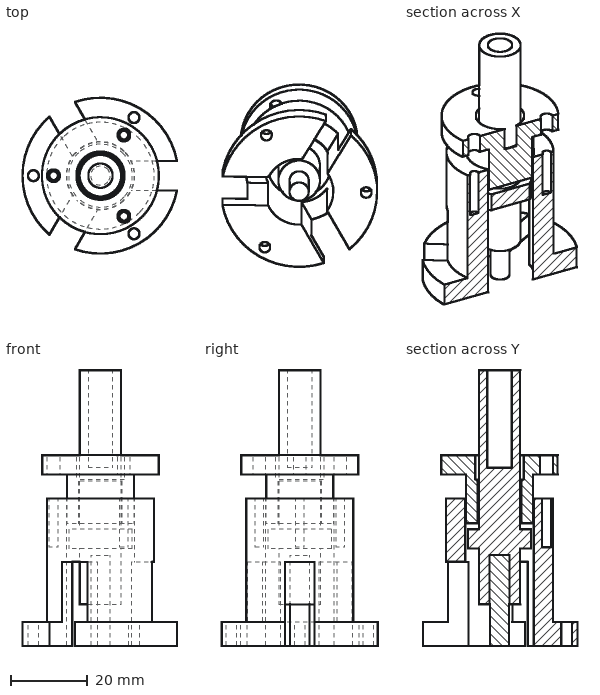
import cadquery as cq

flange_thickness = 6.35
slot_top = 21.95
housing_height = 38.5
cap_thickness = 5.08
cap_top = 49.78
tube_bottom = 10.92
tube_top = 71.88

flange_diameter = 40.64
housing_diameter = 27.94
housing_bore = 17.78
slot_width = 7.62
slot_pitch = 120
slot_angles = [0, slot_pitch, 2 * slot_pitch]
hole_angles = [angle + slot_pitch / 2 for angle in slot_angles]
mount_hole_diameter = 2.78
mount_hole_radius = 17.46
screw_circle_radius = 12.2
tapped_hole_diameter = 2.26
tapped_hole_depth = 12.7

cap_diameter = 30.48
cap_hole_diameter = 3.3
neck_diameter = 17.53
neck_length = 12.7
upper_bore = 12.6
upper_bore_depth = 6.35
lower_bore = 11.33
bore_chamfer = 0.38

tube_diameter = 10.82
tube_bore = 6.35
tube_bore_depth = 25.4
collar_diameter = 16.51
collar_bottom = 25.4
collar_thickness = 5.08

pin_diameter = 5.0
pin_engagement = 12.7


def cylinder(diameter, bottom, top):
    """Vertical cylinder on the Z axis between two levels."""
    return cq.Workplane("XY").workplane(offset=bottom).circle(diameter / 2).extrude(top - bottom)


def hole_ring(diameter, ring_radius, bottom, top):
    """One drill cylinder at each hole angle, midway between the slots."""
    drill = cylinder(diameter, bottom, top).translate((ring_radius, 0, 0))
    drills = cq.Workplane("XY")
    for angle in hole_angles:
        drills = drills.add(drill.rotate((0, 0, 0), (0, 0, 1), angle))
    return drills.combine()


def make_housing():
    """Flanged sleeve whose lower end is split into three legs by radial slots."""
    body = cylinder(flange_diameter, 0, flange_thickness)
    body = body.union(cylinder(housing_diameter, 0, housing_height))
    body = body.cut(cylinder(housing_bore, 0, housing_height))
    slot = cq.Workplane("XY").box(flange_diameter, slot_width, slot_top, centered=(False, True, False))
    for angle in slot_angles:
        body = body.cut(slot.rotate((0, 0, 0), (0, 0, 1), angle))
    body = body.cut(hole_ring(mount_hole_diameter, mount_hole_radius, 0, flange_thickness))
    tapped_bottom = housing_height - tapped_hole_depth
    return body.cut(hole_ring(tapped_hole_diameter, screw_circle_radius, tapped_bottom, housing_height))


def make_cap():
    """Disc with a neck that slides in the housing and a stepped bore chamfered at the step."""
    cap_bottom = cap_top - cap_thickness
    neck_bottom = cap_bottom - neck_length
    body = cylinder(cap_diameter, cap_bottom, cap_top)
    body = body.union(cylinder(neck_diameter, neck_bottom, cap_bottom))
    step_level = cap_top - upper_bore_depth
    body = body.cut(cylinder(lower_bore, neck_bottom, step_level))
    body = body.cut(cylinder(upper_bore, step_level, cap_top))
    countersink = cq.Workplane("XY").add(
        cq.Solid.makeCone(
            lower_bore / 2,
            lower_bore / 2 + bore_chamfer,
            bore_chamfer,
            pnt=cq.Vector(0, 0, step_level - bore_chamfer),
        )
    )
    body = body.cut(countersink)
    return body.cut(hole_ring(cap_hole_diameter, screw_circle_radius, cap_bottom, cap_top))


def make_tube():
    """Collared rod with a blind bore in its upper end and a pin socket in its lower end."""
    body = cylinder(tube_diameter, tube_bottom, tube_top)
    body = body.union(cylinder(collar_diameter, collar_bottom, collar_bottom + collar_thickness))
    body = body.cut(cylinder(tube_bore, tube_top - tube_bore_depth, tube_top))
    return body.cut(cylinder(pin_diameter, tube_bottom, tube_bottom + pin_engagement))


def make_pin():
    """Pin seated in the tube's lower end and reaching down to the base level."""
    return cylinder(pin_diameter, 0, tube_bottom + pin_engagement)


housing = make_housing()
cap = make_cap()
tube = make_tube()
pin = make_pin()

result = cq.Compound.makeCompound([housing.val(), cap.val(), tube.val(), pin.val()])